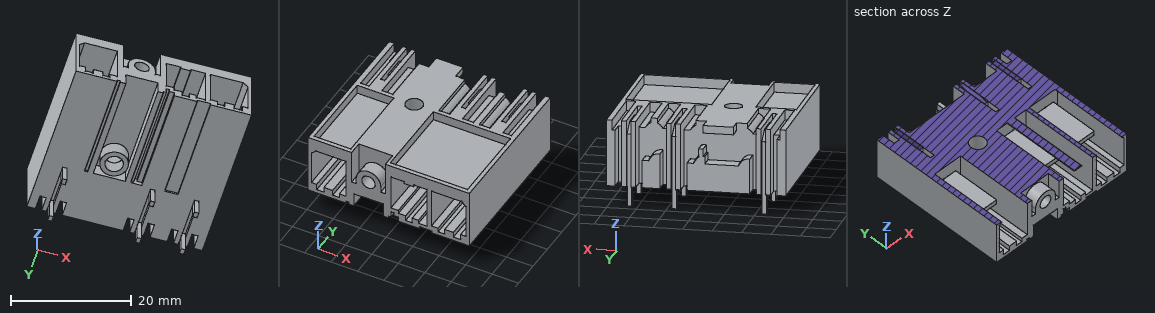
import cadquery as cq
import math

WIDTH = 30.48
DEPTH = 28.3
HEIGHT = 11.4
LEG_LENGTH = 3.5
OVERCUT = 0.3

PITCH = 7.62
FIRST_X = 3.8
FLANGE_X = FIRST_X + PITCH
MIDDLE_X = FIRST_X + 2 * PITCH
LAST_X = FIRST_X + 3 * PITCH
CONTACT_XS = [FIRST_X, MIDDLE_X, LAST_X]

CAVITY_END_Y = 15.73
CAVITY_TOP = 9.05
OUTER_WALL = 0.65
CAVITY_CHAMFER = 0.85
KEYWAY_FLOOR = 0.75
FLOOR_RIB_TOP = 1.77
MIDDLE_CAVITY_START_X = 15.67
MIDDLE_CAVITY_STEP_X = 17.07

TOP_POCKET_DEPTH = 1.7
TOP_POCKET_MARGIN = 0.75
TOP_POCKET_END_Y = 15.75
LEFT_POCKET_END_X = 7.68
RIGHT_POCKET_START_X = 15.15

RECESS_WIDTH = 6.37
RECESS_DEPTH = 2.53
RECESS_FLOOR = 5.03
BOSS_RADIUS = 2.32
BOSS_Z = 6.22
SCREW_HOLE_RADIUS = 1.25
SCREW_HOLE_DEPTH = 6.1

FIXING_Y = DEPTH - 12.35
FIXING_RADIUS = 1.52
SLEEVE_RADIUS = 2.38
BASE_POCKET_WIDTH = 5.55
BASE_POCKET_HEIGHT = 2.62
BASE_POCKET_END_Y = FIXING_Y + BASE_POCKET_WIDTH / 2
BASE_SLOT_HEIGHT = 0.4
BASE_SLOTS = [
    (7.15, 7.68, BASE_SLOT_HEIGHT),
    (15.18, MIDDLE_CAVITY_START_X, BASE_SLOT_HEIGHT),
    (MIDDLE_CAVITY_START_X, 16.22, 1.5),
    (16.22, MIDDLE_CAVITY_STEP_X, 0.88),
    (21.05, 23.35, BASE_SLOT_HEIGHT),
]

GROOVE_LENGTH = 11.77
GROOVE_FLOOR = 9.7
RIB_HALF = 1.22
SHOULDER_INSET = 2.3
GROOVE_HALF = 3.25
SHOULDER_RADIUS = 2.6
SHOULDER_CENTRE_INSET = 4.48
SIDE_WALL = 1.0

REAR_NOTCH_INSET = 2.32
REAR_STEP = 2.62
REAR_LEDGE_Z = 4.75
SIDE_LEDGE_END = 1.52
TONGUE_START_X = 8.9
TONGUE_END_X = 14.02
TONGUE_THICKNESS = 1.3
BUMP_RADIUS = 1.75
BUMP_CENTRE_DROP = 0.45
BUMP_CENTRE_INSET = 2.55
LUG_END_X = 14.78
LUG_TOP = 7.3

PLATE_THICKNESS = 0.75
PLATE_REAR_Y = DEPTH - 0.6
PLATE_FRONT_Y = DEPTH - 9.27
PLATE_STEP_Y = DEPTH - 6.75
PLATE_TOP = 10.55
PLATE_SLOPE_RUN = 2.25
PLATE_SLOPE_DROP = 1.52
PLATE_BOTTOM = 1.22
LEG_WIDTH = 1.0
BLADE_WIDTH = 4.45
BLADE_THICKNESS = 0.9
BLADE_BOTTOM = 5.25
BLADE_TOP = BLADE_BOTTOM + BLADE_THICKNESS
BLADE_TIP_Y = 6.1


def box(x0, x1, y0, y1, z0, z1):
    """Block between two corners."""
    return cq.Workplane("XY").box(x1 - x0, y1 - y0, z1 - z0, centered=False).translate((x0, y0, z0))


def along_y(outline, y0, y1):
    """Prism of a closed XZ outline from y0 to y1."""
    return outline.extrude(y0 - y1).translate((0, y0, 0))


def upright_cylinder(radius, z0, z1):
    """Vertical cylinder on the axis of the fixing hole."""
    return cq.Workplane("XY").circle(radius).extrude(z1 - z0).translate((FLANGE_X, FIXING_Y, z0))


def mirrored(solid):
    """Copy on the other side of the housing's middle plane."""
    return solid.mirror("YZ").translate((WIDTH, 0, 0))


def end_cavity():
    """Plug cavity at the left end, with one chamfered top corner and two keyways in the floor."""
    left = OUTER_WALL
    right = 7.15
    outline = cq.Workplane("XZ").polyline([
        (left, 1.9),
        (1.65, 1.9),
        (1.65, KEYWAY_FLOOR),
        (3.02, KEYWAY_FLOOR),
        (3.02, FLOOR_RIB_TOP),
        (4.65, FLOOR_RIB_TOP),
        (4.65, KEYWAY_FLOOR),
        (5.9, KEYWAY_FLOOR),
        (5.9, 1.52),
        (right, 1.52),
        (right, CAVITY_TOP),
        (left + CAVITY_CHAMFER, CAVITY_TOP),
        (left, CAVITY_TOP - CAVITY_CHAMFER),
    ]).close()
    return along_y(outline, -OVERCUT, CAVITY_END_Y)


def middle_cavity():
    """Plug cavity right of the flange, with a key under its roof and a stepped floor."""
    left = MIDDLE_CAVITY_START_X
    right = 22.45
    key_half = 0.88
    key_height = 0.4
    outline = cq.Workplane("XZ").polyline([
        (left, 2.38),
        (MIDDLE_CAVITY_STEP_X, 2.38),
        (MIDDLE_CAVITY_STEP_X, FLOOR_RIB_TOP),
        (18.45, FLOOR_RIB_TOP),
        (18.45, KEYWAY_FLOOR),
        (19.7, KEYWAY_FLOOR),
        (19.7, FLOOR_RIB_TOP),
        (20.85, FLOOR_RIB_TOP),
        (20.85, 1.13),
        (right, 1.13),
        (right, CAVITY_TOP),
        (MIDDLE_X + key_half, CAVITY_TOP),
        (MIDDLE_X + key_half, CAVITY_TOP - key_height),
        (MIDDLE_X - key_half, CAVITY_TOP - key_height),
        (MIDDLE_X - key_half, CAVITY_TOP),
        (left, CAVITY_TOP),
    ]).close()
    return along_y(outline, -OVERCUT, CAVITY_END_Y)


def top_pocket(x0, x1):
    """Shallow pocket in the top face."""
    return box(x0, x1, TOP_POCKET_MARGIN, TOP_POCKET_END_Y, HEIGHT - TOP_POCKET_DEPTH, HEIGHT + OVERCUT)


def flange_recess():
    """Open recess around the screw boss, leaving the boss standing in it."""
    half = RECESS_WIDTH / 2
    recess = box(
        FLANGE_X - half, FLANGE_X + half, -OVERCUT, RECESS_DEPTH, RECESS_FLOOR, HEIGHT + OVERCUT
    )
    boss_outline = cq.Workplane("XZ").center(FLANGE_X, BOSS_Z).circle(BOSS_RADIUS)
    round_top = along_y(boss_outline, -OVERCUT, RECESS_DEPTH)
    foot = box(
        FLANGE_X - BOSS_RADIUS, FLANGE_X + BOSS_RADIUS, -OVERCUT, RECESS_DEPTH, RECESS_FLOOR, BOSS_Z
    )
    return recess.cut(round_top).cut(foot)


def screw_hole():
    """Blind hole along Y in the boss."""
    outline = cq.Workplane("XZ").center(FLANGE_X, BOSS_Z).circle(SCREW_HOLE_RADIUS)
    return along_y(outline, -OVERCUT, SCREW_HOLE_DEPTH)


def base_pocket():
    """Pocket under the flange, open to the front and to the base, that holds the sleeve."""
    half = BASE_POCKET_WIDTH / 2
    return box(
        FLANGE_X - half, FLANGE_X + half, -OVERCUT, BASE_POCKET_END_Y, -OVERCUT, BASE_POCKET_HEIGHT
    )


def base_slot(x0, x1, height):
    """Slot along Y in the base."""
    return box(x0, x1, -OVERCUT, BASE_POCKET_END_Y, -OVERCUT, height)


def shouldered_groove(contact_x, side):
    """Groove beside a contact rib whose far wall has a rounded shoulder; side is +1 or -1 along X."""
    def rise(inset):
        return math.sqrt(SHOULDER_RADIUS**2 - (SHOULDER_CENTRE_INSET - inset) ** 2)

    def shoulder_point(inset):
        z = GROOVE_FLOOR + rise(inset) - rise(SHOULDER_INSET)
        return (contact_x + side * inset, z)

    outline = (
        cq.Workplane("XZ")
        .moveTo(contact_x + side * RIB_HALF, HEIGHT + OVERCUT)
        .lineTo(contact_x + side * RIB_HALF, GROOVE_FLOOR)
        .lineTo(*shoulder_point(SHOULDER_INSET))
        .threePointArc(shoulder_point((SHOULDER_INSET + GROOVE_HALF) / 2), shoulder_point(GROOVE_HALF))
        .lineTo(contact_x + side * GROOVE_HALF, HEIGHT + OVERCUT)
        .close()
    )
    return along_y(outline, DEPTH - GROOVE_LENGTH, DEPTH + OVERCUT)


def end_groove():
    """Plain groove between the left side wall and the first contact rib."""
    return box(
        SIDE_WALL, FIRST_X - RIB_HALF, DEPTH - GROOVE_LENGTH, DEPTH + OVERCUT, GROOVE_FLOOR, HEIGHT + OVERCUT
    )


def rear_cut(x0, x1, z0, z1):
    """Cut into the rear edge, as deep as the rear step."""
    return box(x0, x1, DEPTH - REAR_STEP, DEPTH + OVERCUT, z0, z1)


def rear_notch(x0, x1):
    """Notch through the full height of the rear edge."""
    return rear_cut(x0, x1, -OVERCUT, HEIGHT + OVERCUT)


def rear_bump(place_x):
    """Rounded bump on the low rear ledge, cut off upright on its left side."""
    centre_x = place_x + BUMP_CENTRE_INSET
    centre_z = REAR_LEDGE_Z - BUMP_CENTRE_DROP
    outline = cq.Workplane("XZ").center(centre_x, centre_z).circle(BUMP_RADIUS)
    rod = along_y(outline, DEPTH - REAR_STEP, DEPTH)
    left = place_x + REAR_NOTCH_INSET
    keep = box(left, left + PITCH / 2, DEPTH - REAR_STEP, DEPTH, REAR_LEDGE_Z, HEIGHT)
    return rod.intersect(keep)


def contact_slot(contact_x):
    """Slot that takes a contact's plate, open to the top, base and rear."""
    half = PLATE_THICKNESS / 2
    return box(
        contact_x - half, contact_x + half, PLATE_FRONT_Y, DEPTH + OVERCUT, -OVERCUT, HEIGHT + OVERCUT
    )


def neck(contact_x):
    """Bar between a contact's plate and its blade; the housing wall has a matching hole."""
    half = PLATE_THICKNESS / 2
    return box(contact_x - half, contact_x + half, CAVITY_END_Y, PLATE_FRONT_Y, BLADE_BOTTOM, BLADE_TOP)


def make_housing():
    body = box(0, WIDTH, 0, DEPTH, 0, HEIGHT)

    body = body.cut(end_cavity()).cut(mirrored(end_cavity())).cut(middle_cavity())
    body = body.cut(flange_recess()).cut(screw_hole())

    body = body.cut(top_pocket(TOP_POCKET_MARGIN, LEFT_POCKET_END_X))
    body = body.cut(top_pocket(RIGHT_POCKET_START_X, WIDTH - TOP_POCKET_MARGIN))
    body = body.cut(base_pocket())
    for x0, x1, height in BASE_SLOTS:
        body = body.cut(base_slot(x0, x1, height))
    body = body.cut(upright_cylinder(FIXING_RADIUS, BASE_POCKET_HEIGHT - OVERCUT, HEIGHT + OVERCUT))

    body = body.cut(end_groove()).cut(mirrored(end_groove()))
    for contact_x, side in [(FIRST_X, 1), (MIDDLE_X, -1), (MIDDLE_X, 1), (LAST_X, -1)]:
        body = body.cut(shouldered_groove(contact_x, side))
        near = contact_x + side * RIB_HALF
        far = contact_x + side * REAR_NOTCH_INSET
        body = body.cut(rear_notch(min(near, far), max(near, far)))
    side_notch = rear_notch(SIDE_LEDGE_END, FIRST_X - RIB_HALF)
    body = body.cut(side_notch).cut(mirrored(side_notch))

    flange_left = FIRST_X + REAR_NOTCH_INSET
    flange_right = MIDDLE_X - REAR_NOTCH_INSET
    above_top = HEIGHT + OVERCUT
    body = body.cut(rear_cut(flange_left, flange_right, REAR_LEDGE_Z, HEIGHT - TONGUE_THICKNESS))
    body = body.cut(rear_cut(flange_left, TONGUE_START_X, REAR_LEDGE_Z, above_top))
    body = body.cut(rear_cut(TONGUE_END_X, flange_right, REAR_LEDGE_Z, above_top))
    body = body.cut(rear_cut(MIDDLE_X + REAR_NOTCH_INSET, LAST_X - REAR_NOTCH_INSET, REAR_LEDGE_Z, above_top))
    for place_x in [FIRST_X, FLANGE_X, MIDDLE_X]:
        body = body.union(rear_bump(place_x))
    body = body.union(box(TONGUE_END_X, LUG_END_X, DEPTH - REAR_STEP, DEPTH, REAR_LEDGE_Z, LUG_TOP))

    for contact_x in CONTACT_XS:
        body = body.cut(contact_slot(contact_x)).cut(neck(contact_x))
    return body


def make_sleeve():
    """Round sleeve in the base pocket, around the fixing hole."""
    outer = upright_cylinder(SLEEVE_RADIUS, 0, BASE_POCKET_HEIGHT)
    return outer.cut(upright_cylinder(FIXING_RADIUS, -OVERCUT, BASE_POCKET_HEIGHT + OVERCUT))


def make_contact(contact_x):
    """Upright plate with two legs, joined by a neck to a flat blade in the plug cavity."""
    plate_outline = cq.Workplane("YZ").polyline([
        (PLATE_FRONT_Y, -LEG_LENGTH),
        (PLATE_FRONT_Y + LEG_WIDTH, -LEG_LENGTH),
        (PLATE_FRONT_Y + LEG_WIDTH, PLATE_BOTTOM),
        (PLATE_REAR_Y - LEG_WIDTH, PLATE_BOTTOM),
        (PLATE_REAR_Y - LEG_WIDTH, -LEG_LENGTH),
        (PLATE_REAR_Y, -LEG_LENGTH),
        (PLATE_REAR_Y, PLATE_TOP - PLATE_SLOPE_DROP),
        (PLATE_REAR_Y - PLATE_SLOPE_RUN, PLATE_TOP),
        (PLATE_STEP_Y, PLATE_TOP),
        (PLATE_STEP_Y, BLADE_TOP),
        (PLATE_FRONT_Y, BLADE_TOP),
    ]).close()
    plate = plate_outline.extrude(PLATE_THICKNESS).translate((contact_x - PLATE_THICKNESS / 2, 0, 0))
    half = BLADE_WIDTH / 2
    blade = box(contact_x - half, contact_x + half, BLADE_TIP_Y, CAVITY_END_Y, BLADE_BOTTOM, BLADE_TOP)
    return plate.union(neck(contact_x)).union(blade)


housing = make_housing()
sleeve = make_sleeve()
contacts = [make_contact(contact_x).val() for contact_x in CONTACT_XS]

result = cq.Compound.makeCompound([housing.val(), sleeve.val(), *contacts])